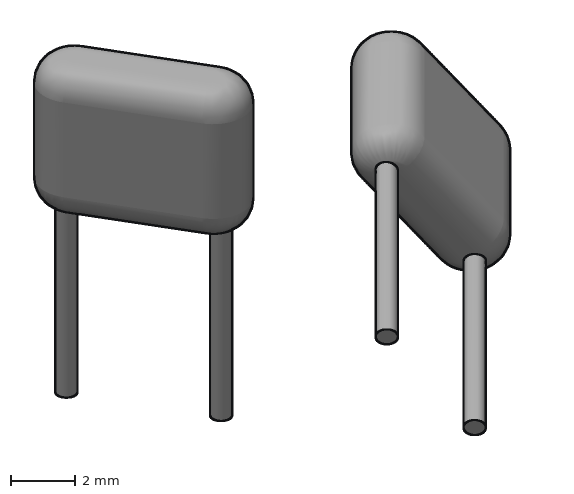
import cadquery as cq

body_width = 7.0
body_thickness = 2.5
body_height = 5.5
total_height = 12.5
edge_radius = 1.0

lead_diameter = 0.7
lead_spacing = 5.0
lead_length = total_height - body_height
lead_embed = edge_radius


def make_body():
    """Stadium-shaped block with rounded top and bottom rims, base at Z = 0."""
    return (
        cq.Workplane("XY")
        .slot2D(body_width, body_thickness)
        .extrude(body_height)
        .faces("<Z or >Z")
        .edges()
        .fillet(edge_radius)
    )


def make_leads():
    """Two round leads hanging below the body."""
    return (
        cq.Workplane("XY")
        .workplane(offset=-lead_length)
        .pushPoints([(-lead_spacing / 2, 0), (lead_spacing / 2, 0)])
        .circle(lead_diameter / 2)
        .extrude(lead_length + lead_embed)
    )


result = make_body().union(make_leads())